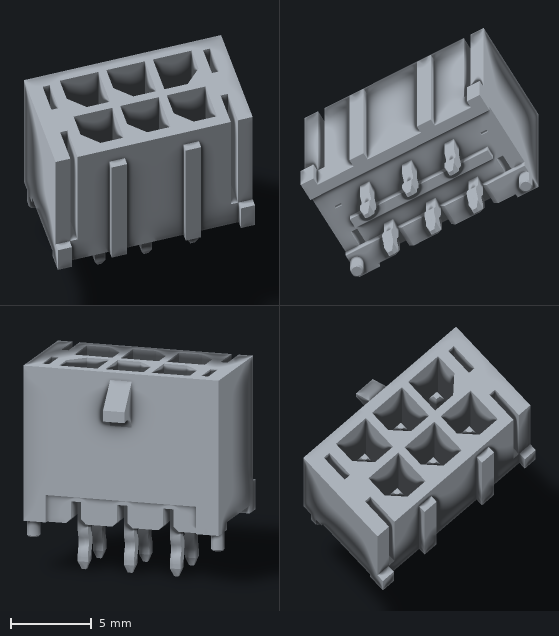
import cadquery as cq
import math


pitch = 3.0
columns = (-pitch / 2, pitch / 2)
rows = (-pitch, 0.0, pitch)

depth = 6.85
width = 12.7
height = 9.86
front_x = -depth / 2
back_x = depth / 2
half_width = width / 2

cavity_size = 2.49
cavity_floor_z = 1.96
cavity_chamfer = 1.0

standoff_height = 0.5
front_wall_thickness = 1.7
back_wall_thickness = 0.71
middle_bar_thickness = 0.68

recess_width = 9.77
recess_height = 1.74
recess_depth = 0.25
pin_slot_height = 1.4
pin_slot_chamfer = 0.31

rib_depth = 0.5
rib_width = 1.0
rib_center_y = 2.38
rib_height = 8.71
foot_width = 0.9
foot_height = 1.9

slit_width = 0.46
slit_inner_y = 4.94
front_slit_start_x = -2.58
front_slit_length = 1.91
back_slit_start_x = 1.22
back_slit_opening = 0.17

latch_reach = 1.41
latch_width = 1.4
latch_top_z = 9.38
latch_nose_top_z = 7.75
latch_nose_bottom_z = 7.06
latch_root_z = 6.46
latch_hollow_inset = 1.0
latch_hollow_top_z = 7.14

peg_diameter = 0.85
peg_length = 1.15
peg_chamfer = 0.1
peg_x = -2.49
peg_center_inset = 0.35

pin_size = 0.67
pin_tip_size = 0.28
pin_tip_length = 0.52
pin_top_z = 7.2
pin_length_below = 3.24
pin_bottom_z = -pin_length_below
bend_middle_z = -1.5
bend_half_length = 0.9
bend_offset = 0.21


def block(x_min, x_max, y_min, y_max, z_min, z_max):
    """Rectangular block between the given limits."""
    size = (x_max - x_min, y_max - y_min, z_max - z_min)
    return cq.Workplane("XY").box(*size, centered=False).translate((x_min, y_min, z_min))


def centered_block(x_min, x_max, y_center, y_size, z_min, z_max):
    """Rectangular block placed by its middle along Y."""
    return block(x_min, x_max, y_center - y_size / 2, y_center + y_size / 2, z_min, z_max)


def cavity(x, y, chamfered_edge):
    """Square mating cavity with one chamfered vertical edge."""
    limits = (x - cavity_size / 2, x + cavity_size / 2, y, cavity_size, cavity_floor_z, height)
    return centered_block(*limits).edges("|Z").edges(chamfered_edge).chamfer(cavity_chamfer)


def underside_channel():
    """Space under the housing floor, open at both ends, with a bar left across the middle."""
    x_min = front_x + front_wall_thickness
    x_max = back_x - back_wall_thickness
    channel = centered_block(x_min, x_max, 0, width, 0, standoff_height)
    half_bar = middle_bar_thickness / 2
    return channel.cut(centered_block(-half_bar, half_bar, 0, recess_width, 0, standoff_height))


def pin_slot(y):
    """Slot through the front wall in front of a pin, flared at the underside."""
    half_slot = pin_size / 2
    half_mouth = half_slot + pin_slot_chamfer
    outline = [
        (y - half_mouth, 0),
        (y + half_mouth, 0),
        (y + half_slot, pin_slot_chamfer),
        (y + half_slot, pin_slot_height),
        (y - half_slot, pin_slot_height),
        (y - half_slot, pin_slot_chamfer),
    ]
    slot = cq.Workplane("YZ").polyline(outline).close().extrude(front_wall_thickness)
    return slot.translate((front_x, 0, 0))


def slits(side):
    """Front and back slits beside the cavities, on the +Y (side = 1) or -Y (side = -1) half."""
    y = side * (slit_inner_y + slit_width / 2)
    front_slit_end_x = front_slit_start_x + front_slit_length
    front = centered_block(front_slit_start_x, front_slit_end_x, y, slit_width, standoff_height, height)
    back = centered_block(back_slit_start_x, back_x, y, slit_width, foot_height, height)
    opening_end_x = back_slit_start_x + back_slit_opening
    opening = centered_block(back_slit_start_x, opening_end_x, y, slit_width, 0, height)
    return front.union(back).union(opening)


def latch():
    """Wedge on the front face with a concave underside."""
    nose_x = front_x - latch_reach
    hollow_x = front_x - latch_hollow_inset
    return (
        cq.Workplane("XZ")
        .moveTo(front_x, latch_top_z)
        .lineTo(nose_x, latch_nose_top_z)
        .lineTo(nose_x, latch_nose_bottom_z)
        .threePointArc((hollow_x, latch_hollow_top_z), (front_x, latch_root_z))
        .close()
        .extrude(latch_width / 2, both=True)
    )


def peg(side):
    """Round locating peg, cut flush with the side of the housing."""
    y = side * (half_width - peg_center_inset)
    round_peg = (
        cq.Workplane("XY")
        .circle(peg_diameter / 2)
        .extrude(-peg_length)
        .faces("<Z")
        .chamfer(peg_chamfer)
        .translate((peg_x, y, 0))
    )
    return round_peg.intersect(centered_block(front_x, back_x, 0, width, -peg_length, 0))


def pin_body():
    """Bent pin of square section without its tips, for a column whose bend points to +X."""
    half_pin = pin_size / 2
    bend_angle = 2 * math.atan(bend_offset / bend_half_length)
    normal_x = half_pin * math.cos(bend_angle)
    normal_z = half_pin * math.sin(bend_angle)
    bend_top_z = bend_middle_z + bend_half_length
    bend_bottom_z = bend_middle_z - bend_half_length
    upper_z = bend_middle_z + bend_half_length / 2
    lower_z = bend_middle_z - bend_half_length / 2
    middle_x = bend_offset / 2
    body_top_z = pin_top_z - pin_tip_length
    body_bottom_z = pin_bottom_z + pin_tip_length
    return (
        cq.Workplane("XZ")
        .moveTo(-half_pin, body_top_z)
        .lineTo(-half_pin, bend_top_z)
        .tangentArcPoint((middle_x - normal_x, upper_z - normal_z), relative=False)
        .tangentArcPoint((bend_offset - half_pin, bend_middle_z), relative=False)
        .tangentArcPoint((middle_x - normal_x, lower_z + normal_z), relative=False)
        .tangentArcPoint((-half_pin, bend_bottom_z), relative=False)
        .lineTo(-half_pin, body_bottom_z)
        .lineTo(half_pin, body_bottom_z)
        .lineTo(half_pin, bend_bottom_z)
        .tangentArcPoint((middle_x + normal_x, lower_z - normal_z), relative=False)
        .tangentArcPoint((bend_offset + half_pin, bend_middle_z), relative=False)
        .tangentArcPoint((middle_x + normal_x, upper_z + normal_z), relative=False)
        .tangentArcPoint((half_pin, bend_top_z), relative=False)
        .lineTo(half_pin, body_top_z)
        .close()
        .extrude(half_pin, both=True)
    )


def pin_tip(end_z, direction):
    """Blunt pyramid that ends at end_z and points up (direction = 1) or down (direction = -1)."""
    return (
        cq.Workplane("XY", origin=(0, 0, end_z))
        .rect(pin_tip_size, pin_tip_size)
        .workplane(offset=-direction * pin_tip_length)
        .rect(pin_size, pin_size)
        .loft(ruled=True)
    )


def make_pin(x, y):
    """Complete pin with both tips; the bends of both columns point towards the middle of the housing."""
    pin = pin_body().union(pin_tip(pin_top_z, 1)).union(pin_tip(pin_bottom_z, -1))
    if x > 0:
        pin = pin.mirror("YZ")
    return pin.translate((x, y, 0)).solids()


def make_housing():
    """Housing with cavities, pin holes, latch, ribs, feet and locating pegs."""
    housing = centered_block(front_x, back_x, 0, width, 0, height)

    housing = housing.cut(underside_channel())
    housing = housing.cut(centered_block(front_x, front_x + recess_depth, 0, recess_width, 0, recess_height))
    for y in rows:
        housing = housing.cut(pin_slot(y))

    for x in columns:
        for y in rows:
            is_key = x == columns[0] and y == rows[-1]
            chamfered_edge = ">(1, 1, 0)" if is_key else ">(1, -1, 0)"
            housing = housing.cut(cavity(x, y, chamfered_edge))
            pin_hole = centered_block(x - pin_size / 2, x + pin_size / 2, y, pin_size, 0, cavity_floor_z)
            housing = housing.cut(pin_hole)

    housing = housing.union(latch())
    for side in (-1, 1):
        rib = centered_block(back_x, back_x + rib_depth, side * rib_center_y, rib_width, 0, rib_height)
        foot_y = side * (half_width - foot_width / 2)
        foot = centered_block(back_x, back_x + rib_depth, foot_y, foot_width, 0, foot_height)
        housing = housing.cut(slits(side)).union(rib).union(foot).union(peg(side))
    return housing.solids()


housing = make_housing()
pins = [make_pin(x, y) for x in columns for y in rows]

result = cq.Compound.makeCompound([housing.val(), *[pin.val() for pin in pins]])